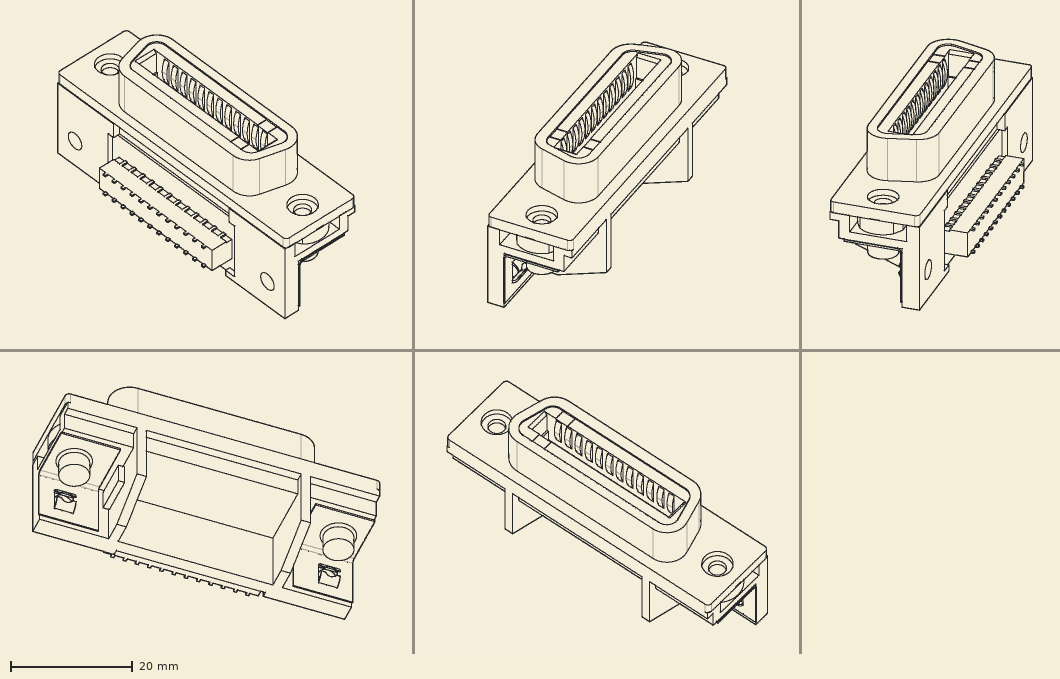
import cadquery as cq
import math


total_height = 25.65
flange_length = 55.9
flange_depth = 15.65
flange_top = 17.7
flange_bottom = 15.65
flange_corner_radius = 0.7
back_face = flange_depth / 2

shell_back = 5.8
shell_front = -6.15
shell_back_half = 19.2
shell_corner_radius = 3.65
shell_side_slope = math.tan(math.radians(15))
shell_wall = 1.7
shell_front_wall = 2.0
insulator_top = total_height - 0.3
slot_half_length = 14.55
slot_half_width = 2.1
slot_floor = 18.45
slot_chamfer = 0.55
slot_step = 0.35
slot_step_top = 20.7
label_start = 10.15
label_length = 2.5
label_depth = 0.1

contact_count = 12
contact_pitch = 2.2
contact_width = 1.1
contact_reach = 0.5
contact_bow = 0.75
contact_top = insulator_top - 0.45
contact_arch_height = 5.05
header_length = 27.5
header_top = 8.05
header_bottom = 3.5
header_face = -11.35
tail_tip = -11.9
tail_width = 0.55
tail_thickness = 0.3
root_notch_front = -8.15

bracket_length = 55.45
bracket_top = flange_bottom - 0.1
wall_front = -7.9
wall_back = -4.8
window_wall_back = -5.65
shelf_top = 12.45
shelf_bottom = 10.95
leg_front = 4.35
leg_back = 6.3
lip_bottom = 14.2
recess_half = 15.4
recess_face = wall_front + 0.95
recess_bottom = 1.2
recess_top = 12.45
upper_neck_half = 14.1
upper_neck_face = wall_front + 1.4
lower_neck_half = 13.25

gusset_thickness = 1.7
gusset_foot = -1.2
gusset_back_bottom = 3.4
pad_thickness = 1.1
pad_back = 2.3
pad_front = -4.5
pad_bottom = 6.55
pad_top = 10.15

screw_x = 23.45
counterbore_diameter = 5.2
counterbore_depth = 1.1
screw_hole_diameter = 2.95
screw_hole_depth = 0.95
boss_diameter = 5.15
boss_bottom = 7.4
wall_hole_diameter = 3.3
wall_hole_z = 5.5

body_bottom = 12.9
body_half_width = 3.95
ear_radius = 4.35
ear_half_chord = 2.95
ear_flat_length = 1.75

clip_end = 27.9
clip_start = 17.3
clip_thickness = 0.2
clip_shelf_thickness = 0.35
clip_bend_radius = 0.85
clip_bottom = 1.0
clip_back = 5.3
collar_radius = 3.0
collar_height = 0.45
tongue_half_width = 1.7
tongue_base = 2.1
tongue_tip = 0.55
tongue_rise = 1.5
tongue_bow = 0.7
tongue_notch_radius = 1.1


def box(x0, x1, y0, y1, z0, z1):
    return cq.Workplane("XY").box(x1 - x0, y1 - y0, z1 - z0, centered=False).translate((x0, y0, z0))


def rod(x, y, diameter, z0, z1):
    return cq.Workplane("XY", origin=(x, y, z0)).circle(diameter / 2).extrude(z1 - z0)


def yz_prism(points, x0, x1):
    return cq.Workplane("YZ", origin=(x0, 0, 0)).polyline(points).close().extrude(x1 - x0)


def mirrored(solid):
    return solid.union(solid.mirror("YZ"))


def contact_places():
    middle = (contact_count - 1) / 2
    return [(i - middle) * contact_pitch for i in range(contact_count)]


def trapezoid(inset, front_inset, z0, z1):
    """Rounded trapezoid of the shell, moved inward by the given insets."""
    y_back = shell_back - inset
    y_front = shell_front + front_inset
    side_shift = inset / math.cos(math.atan(shell_side_slope))
    half_back = shell_back_half - side_shift - inset * shell_side_slope
    half_front = half_back - (y_back - y_front) * shell_side_slope
    corners = [(-half_back, y_back), (half_back, y_back), (half_front, y_front), (-half_front, y_front)]
    prism = cq.Workplane("XY", origin=(0, 0, z0)).polyline(corners).close().extrude(z1 - z0)
    return prism.edges("|Z").fillet(shell_corner_radius - inset)


def make_flange():
    plate = box(-flange_length / 2, flange_length / 2, -back_face, back_face, flange_bottom, flange_top)
    return plate.edges("|Z").fillet(flange_corner_radius)


def make_slot():
    slot = box(-slot_half_length, slot_half_length, -slot_half_width, slot_half_width,
               slot_floor, insulator_top)
    mouth = [
        (slot_half_length, insulator_top),
        (slot_half_length + slot_chamfer, insulator_top),
        (slot_half_length, insulator_top - slot_chamfer),
    ]
    bevel = cq.Workplane("XZ", origin=(0, slot_half_width, 0)).polyline(mouth).close()
    slot = slot.union(mirrored(bevel.extrude(2 * slot_half_width)))
    step = box(slot_half_length - slot_step, slot_half_length, -slot_half_width, slot_half_width,
               slot_floor, slot_step_top)
    return slot.cut(mirrored(step))


def make_contact(x):
    """One contact of the back row: a strip bowed into the slot, with its crown at mid-height."""
    root = slot_half_width
    crown = root - contact_reach
    crown_z = contact_top - contact_arch_height / 2
    bow_rise = contact_arch_height / 4
    bow = root - contact_bow * contact_reach
    profile = (
        cq.Workplane("YZ", origin=(x - contact_width / 2, 0, 0))
        .moveTo(root, contact_top)
        .threePointArc((bow, crown_z + bow_rise), (crown, crown_z))
        .threePointArc((bow, crown_z - bow_rise), (root, contact_top - contact_arch_height))
        .close()
    )
    return profile.extrude(contact_width)


def make_shell():
    shell = trapezoid(0, 0, flange_top, total_height)
    shell = shell.cut(trapezoid(shell_wall, shell_front_wall, insulator_top, total_height))
    shell = shell.cut(make_slot())
    label_back = shell_back - shell_wall
    for y0, y1 in ((slot_half_width, label_back), (-label_back, -slot_half_width)):
        shell = shell.cut(box(label_start, label_start + label_length, y0, y1,
                              insulator_top - label_depth, insulator_top))
    for x in contact_places():
        contact = make_contact(x)
        shell = shell.union(contact).union(contact.mirror("XZ"))
    return shell


def make_body():
    chord_x = screw_x + math.sqrt(ear_radius ** 2 - ear_half_chord ** 2)
    side_x = chord_x - ear_flat_length
    return (
        cq.Workplane("XY", origin=(0, 0, body_bottom))
        .moveTo(-side_x, body_half_width)
        .lineTo(side_x, body_half_width)
        .lineTo(chord_x, ear_half_chord)
        .threePointArc((screw_x + ear_radius, 0), (chord_x, -ear_half_chord))
        .lineTo(side_x, -body_half_width)
        .lineTo(-side_x, -body_half_width)
        .lineTo(-chord_x, -ear_half_chord)
        .threePointArc((-screw_x - ear_radius, 0), (-chord_x, ear_half_chord))
        .close()
        .extrude(flange_bottom - body_bottom)
    )


def make_bracket():
    end = bracket_length / 2
    section = [
        (wall_front, 0),
        (wall_back, 0),
        (wall_back, shelf_bottom),
        (leg_back, shelf_bottom),
        (leg_back, lip_bottom),
        (back_face, lip_bottom),
        (back_face, flange_bottom),
        (leg_front, flange_bottom),
        (leg_front, shelf_top),
        (window_wall_back, shelf_top),
        (window_wall_back, bracket_top),
        (wall_front, bracket_top),
    ]
    bracket = yz_prism(section, -end, end)
    bracket = bracket.union(box(-recess_half, recess_half, window_wall_back, wall_back,
                                shelf_top, flange_bottom))
    bracket = bracket.cut(box(-recess_half, recess_half, wall_front, recess_face, recess_bottom, recess_top))
    bracket = bracket.cut(box(-upper_neck_half, upper_neck_half, wall_front, upper_neck_face,
                              recess_top, bracket_top))
    return bracket.cut(box(-lower_neck_half, lower_neck_half, wall_front, recess_face, 0, recess_bottom))


def make_gusset():
    outline = [
        (wall_back, 0),
        (gusset_foot, 0),
        (back_face, gusset_back_bottom),
        (back_face, lip_bottom),
        (leg_back, lip_bottom),
        (leg_back, shelf_bottom),
        (wall_back, shelf_bottom),
    ]
    gusset = yz_prism(outline, recess_half - gusset_thickness, recess_half)
    pad = box(recess_half, recess_half + pad_thickness, pad_front, pad_back, pad_bottom, pad_top)
    return gusset.union(pad)


def make_header():
    half = header_length / 2
    header = box(-half, half, header_face, recess_face, header_bottom, header_top)
    header = header.cut(box(-half, half, root_notch_front, recess_face,
                            header_top - tail_thickness, header_top))
    for x in contact_places():
        for z0 in (header_bottom, header_top - tail_thickness):
            header = header.union(box(x - tail_width / 2, x + tail_width / 2, tail_tip, recess_face,
                                      z0, z0 + tail_thickness))
    return header


def make_tongue():
    """Upper tongue of the clip, curling out of the plate toward the hole axis."""
    root_z = wall_hole_z + tongue_base
    inner_root_z = root_z - 2 * clip_thickness
    tip_z = wall_hole_z + tongue_tip
    tip_y = wall_back + tongue_rise
    bow_y = wall_back + tongue_bow * tongue_rise
    bow_z = wall_hole_z + tongue_bow * tongue_base
    return (
        cq.Workplane("YZ", origin=(screw_x - tongue_half_width, 0, 0))
        .moveTo(wall_back, root_z)
        .threePointArc((bow_y, bow_z), (tip_y, tip_z))
        .lineTo(tip_y - clip_thickness, tip_z)
        .threePointArc((bow_y - clip_thickness, bow_z - clip_thickness), (wall_back, inner_root_z))
        .close()
        .extrude(2 * tongue_half_width)
    )


def make_clip():
    bend_y = wall_back + clip_bend_radius
    bend_z = shelf_bottom - clip_bend_radius
    inner_y = wall_back + clip_thickness
    inner_z = shelf_bottom - clip_shelf_thickness
    diagonal = math.sqrt(0.5)
    outer_mid = (bend_y - diagonal * clip_bend_radius, bend_z + diagonal * clip_bend_radius)
    inner_mid = (bend_y - diagonal * (bend_y - inner_y), bend_z + diagonal * (inner_z - bend_z))
    plate = (
        cq.Workplane("YZ", origin=(clip_start, 0, 0))
        .moveTo(wall_back, clip_bottom)
        .lineTo(wall_back, bend_z)
        .threePointArc(outer_mid, (bend_y, shelf_bottom))
        .lineTo(clip_back, shelf_bottom)
        .lineTo(clip_back, inner_z)
        .lineTo(bend_y, inner_z)
        .threePointArc(inner_mid, (inner_y, bend_z))
        .lineTo(inner_y, clip_bottom)
        .close()
        .extrude(clip_end - clip_start)
    )
    plate = plate.cut(box(screw_x - tongue_half_width, screw_x + tongue_half_width, wall_back, inner_y,
                          wall_hole_z - tongue_base, wall_hole_z + tongue_base))
    collar = (
        cq.Workplane("XY", origin=(screw_x, 0, inner_z))
        .circle(collar_radius)
        .workplane(offset=-collar_height)
        .circle(boss_diameter / 2)
        .loft()
    )
    upper = make_tongue()
    lower = upper.mirror("XY", (0, 0, wall_hole_z))
    notch = (
        cq.Workplane("XZ", origin=(screw_x, 0, wall_hole_z))
        .circle(tongue_notch_radius)
        .extrude(-wall_back, both=True)
    )
    tongues = upper.union(lower).cut(notch)
    return plate.union(collar).union(tongues)


def make_wall_hole():
    hole = cq.Workplane("XZ", origin=(screw_x, wall_back, wall_hole_z)).circle(wall_hole_diameter / 2)
    return hole.extrude(wall_back - wall_front)


def make_screw_hole():
    seat = flange_top - counterbore_depth
    return rod(screw_x, 0, counterbore_diameter, seat, flange_top).union(
        rod(screw_x, 0, screw_hole_diameter, seat - screw_hole_depth, seat)
    )


result = make_flange().union(make_shell()).union(make_body()).union(make_bracket())
result = result.cut(mirrored(make_wall_hole()))
result = result.union(make_header())
for side_feature in (make_gusset(), rod(screw_x, 0, boss_diameter, boss_bottom, flange_bottom), make_clip()):
    result = result.union(mirrored(side_feature))
result = result.cut(mirrored(make_screw_hole()))